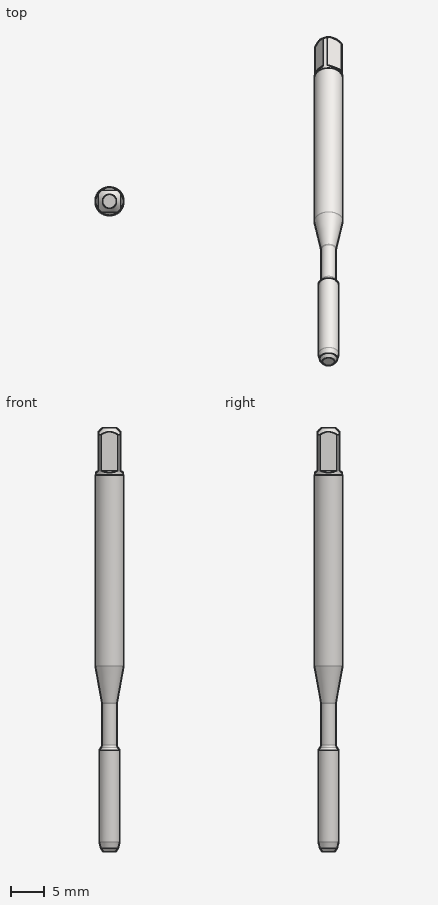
import cadquery as cq

total_length = 63.1
lead_start = 0.55
thread_bottom = 1.5
thread_top = 15.15
neck_bottom = 15.7
neck_top = 22.15
shank_bottom = 27.7
shank_chamfer_top = 56.1
flat_bottom = 56.7

shank_diameter = 4.3
neck_diameter = 2.3
thread_diameter = 3.1
lead_diameter = 2.65
point_diameter = 1.8
drive_diameter = 4.1
drive_tip_diameter = 2.1

across_flats = 3.3
floor_drop = 0.3
neck_fillet = 0.6
drive_chamfer = (drive_diameter - drive_tip_diameter) / 2
shank_chamfer = (shank_diameter - drive_diameter) / 2


def revolved(profile):
    """Turn (diameter, height) points, closed along the axis, about Z."""
    points = [(diameter / 2, height) for diameter, height in profile]
    return cq.Workplane("XZ").polyline(points).close().revolve(360, (0, 0), (0, 1))


def flat_cutter():
    """Prism that cuts one flat on the +X side, with a floor falling outward."""
    inner = across_flats / 2
    outer = drive_diameter / 2
    profile = [
        (inner, flat_bottom),
        (outer, flat_bottom - floor_drop),
        (outer, total_length),
        (inner, total_length),
    ]
    return cq.Workplane("XZ").polyline(profile).close().extrude(outer, both=True)


def make_shank():
    """Filleted neck, taper, plain shank and square drive."""
    shank = revolved([
        (0, thread_top),
        (thread_diameter, thread_top),
        (neck_diameter, neck_bottom),
        (neck_diameter, neck_top),
        (shank_diameter, shank_bottom),
        (shank_diameter, shank_chamfer_top - shank_chamfer),
        (drive_diameter, shank_chamfer_top),
        (drive_diameter, total_length - drive_chamfer),
        (drive_tip_diameter, total_length),
        (0, total_length),
    ])
    neck_circles = shank.edges("%CIRCLE").edges(cq.selectors.RadiusNthSelector(1))
    shank = neck_circles.fillet(neck_fillet)
    for quarter in range(4):
        cutter = flat_cutter().rotate((0, 0, 0), (0, 0, 1), 90 * quarter)
        shank = shank.cut(cutter)
    return shank


def make_threaded_end():
    """Plain envelope of the thread with its lead and point cones."""
    return revolved([
        (0, 0),
        (point_diameter, 0),
        (lead_diameter, lead_start),
        (thread_diameter, thread_bottom),
        (thread_diameter, thread_top),
        (0, thread_top),
    ])


shank = make_shank()
threaded_end = make_threaded_end()
result = cq.Compound.makeCompound([shank.solids().val(), threaded_end.val()])